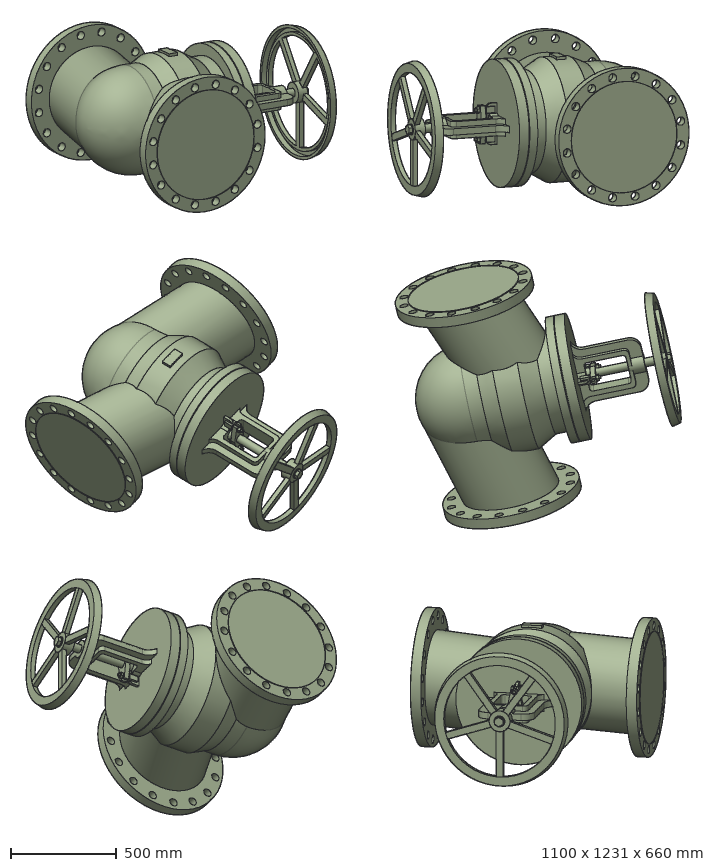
import cadquery as cq
import math


FACE_TO_FACE = 1100.0
FLANGE_RADIUS = 330.0
FLANGE_THICKNESS = 50.0
RAISED_FACE_RADIUS = 267.0
RAISED_FACE_HEIGHT = 4.0
FLANGE_BOLT_CIRCLE_RADIUS = 293.0
FLANGE_HOLE_DIAMETER = 39.0
FLANGE_HOLE_COUNT = 16
FLANGE_INNER_X = FACE_TO_FACE / 2 - RAISED_FACE_HEIGHT - FLANGE_THICKNESS

PIPE_RADIUS = 225.0
INLET_TILT = 13.6
OUTLET_TILT = 19.7
INLET_END_X = 0
OUTLET_END_X = 98

BULB_RADIUS = 262.0
BULB_CENTRE_Y = -84.0
SEAT_TOP_Y = -16.0
BELLY_RADIUS = 298.0
BELLY_BOTTOM_Y = 64.0
BELLY_TOP_Y = 186.0
NECK_RADIUS = 246.0
NECK_BOTTOM_Y = 277.0

BONNET_RADIUS = 304.0
BODY_FLANGE_BOTTOM_Y = 342.0
JOINT_Y = 384.0
GASKET_RADIUS = 261.0
GASKET_THICKNESS = 4.0
BONNET_TOP_Y = 435.0

PLATE_WIDTH = 96.0
PLATE_HEIGHT = 47.0
PLATE_CENTRE_Y = 124.0
PLATE_RISE = 10.0

WEB_HALF_WIDTH = 134.0
WEB_THICKNESS = 31.0
WEB_CORNER_RADIUS = 54.0
WEB_FOOT_RISE = 57.0
WEB_FOOT_RUN = 39.0
YOKE_TOP_Y = 757.0
FRAME_HALF_WIDTH = 97.0
FRAME_THICKNESS = 82.0
FRAME_CORNER_RADIUS = 22.0
FRAME_FOOT_RISE = 38.0
FRAME_FOOT_RUN = 23.0
FRAME_TOP_Y = 696.0
WINDOW_HALF_WIDTH = 73.0
WINDOW_BOTTOM_Y = 476.0
WINDOW_TOP_Y = 678.0
WINDOW_CORNER_RADIUS = 16.0
BOSS_RADIUS = 43.0

STEM_RADIUS = 21.0
GLAND_RADIUS = 30.0
GLAND_PLATE_BOTTOM_Y = 497.0
GLAND_PLATE_THICKNESS = 25.0
GLAND_PLATE_HALF_WIDTH = 35.0
GLAND_PLATE_HALF_LENGTH = 91.0
GLAND_PLATE_TIP_HALF_WIDTH = 17.0
GLAND_SLOT_WIDTH = 14.0
GLAND_BOLT_OFFSET = 70.0
GLAND_BOLT_RADIUS = 7.0
GLAND_BOLT_TOP_Y = 544.0
GLAND_NUT_FLATS = 27.0
GLAND_NUT_HEIGHT = 14.0
FORK_WIDTH = 35.0
FORK_DEPTH = 31.0
FORK_BOTTOM_Y = 447.0
FORK_TOP_Y = 490.0
FORK_BRIDGE_HEIGHT = 6.0
EAR_THICKNESS = 14.0
EAR_REACH = 100.0
EAR_CORNER_RADIUS = 20.0
CASING_RADIUS = 50.0
CASING_TOP_Y = 475.0

WHEEL_BOTTOM_Y = 826.0
WHEEL_TOP_Y = 864.0
WHEEL_BOTTOM_RADIUS = 322.0
WHEEL_TOP_RADIUS = 313.0
RIM_LIP_RADIUS = 308.0
RIM_FLOOR_Y = 856.0
RIM_INNER_LIP_RADIUS = 285.0
RIM_INNER_RADIUS = 270.0
RIM_INNER_LIP_Y = 839.0
SPOKE_COUNT = 5
SPOKE_WIDTH = 33.0
SPOKE_BOTTOM_Y = 839.0
SPOKE_THICKNESS = 23.0
HUB_RADIUS = 50.0
HUB_BOTTOM_Y = 812.0
WASHER_RADIUS = 26.0
WASHER_THICKNESS = 4.0
STEM_NUT_FLATS = 40.0
VALVE_TOP_Y = 885.0

OVERLAP = 6.0


def along_stem(y, z=0):
    """Workplane at height y whose normal is +Y; local axes are +X and -Z."""
    return cq.Workplane("XZ", origin=(0, y, z)).transformed(rotate=(180, 0, 0))


def stem_cylinder(radius, bottom_y, top_y, z=0):
    return along_stem(bottom_y, z).circle(radius).extrude(top_y - bottom_y)


def hexagon(across_flats, bottom_y, height, z=0):
    """Hexagonal nut with flats facing +X and -X."""
    corner_diameter = across_flats / math.cos(math.radians(30))
    base = along_stem(bottom_y, z).transformed(rotate=(0, 0, 90))
    return base.polygon(6, corner_diameter).extrude(height)


def pipe_flange(side):
    """Flange with raised face; side is -1 at the inlet and +1 at the outlet."""
    disc = cq.Workplane("YZ", origin=(side * FLANGE_INNER_X, 0, 0)).circle(FLANGE_RADIUS)
    disc = disc.extrude(side * FLANGE_THICKNESS)
    face = cq.Workplane("YZ", origin=(side * FLANGE_INNER_X, 0, 0)).circle(RAISED_FACE_RADIUS)
    face = face.extrude(side * (FLANGE_THICKNESS + RAISED_FACE_HEIGHT))
    holes = (
        cq.Workplane("YZ", origin=(side * FLANGE_INNER_X, 0, 0))
        .polarArray(FLANGE_BOLT_CIRCLE_RADIUS, 180 / FLANGE_HOLE_COUNT, 360, FLANGE_HOLE_COUNT)
        .circle(FLANGE_HOLE_DIAMETER / 2)
        .extrude(side * FLANGE_THICKNESS)
    )
    return disc.cut(holes).union(face)


def slanted_pipe(side, tilt, end_x):
    """Round pipe from the flange centre to end_x inside the body, trimmed flush with the flange."""
    slope = math.tan(math.radians(tilt))
    overrun = PIPE_RADIUS
    start_x = side * (FLANGE_INNER_X + overrun)
    start = cq.Vector(start_x, -slope * overrun, 0)
    end = cq.Vector(end_x, slope * (FLANGE_INNER_X - abs(end_x)), 0)
    run = end - start
    pipe = cq.Workplane(cq.Solid.makeCylinder(PIPE_RADIUS, run.Length, start, run))
    between_flanges = cq.Workplane("XY").box(2 * FLANGE_INNER_X + OVERLAP, FACE_TO_FACE, FACE_TO_FACE)
    return pipe.intersect(between_flanges)


def body():
    bulb_side = BULB_RADIUS * math.sqrt(0.5)
    profile = (
        cq.Workplane("XY")
        .moveTo(0, BULB_CENTRE_Y - BULB_RADIUS)
        .threePointArc((bulb_side, BULB_CENTRE_Y - bulb_side), (BULB_RADIUS, BULB_CENTRE_Y))
        .lineTo(BULB_RADIUS, SEAT_TOP_Y)
        .lineTo(BELLY_RADIUS, BELLY_BOTTOM_Y)
        .lineTo(BELLY_RADIUS, BELLY_TOP_Y)
        .lineTo(NECK_RADIUS, NECK_BOTTOM_Y)
        .lineTo(NECK_RADIUS, BODY_FLANGE_BOTTOM_Y)
        .lineTo(BONNET_RADIUS, BODY_FLANGE_BOTTOM_Y)
        .lineTo(BONNET_RADIUS, JOINT_Y - GASKET_THICKNESS / 2)
        .lineTo(GASKET_RADIUS, JOINT_Y - GASKET_THICKNESS / 2)
        .lineTo(GASKET_RADIUS, JOINT_Y + GASKET_THICKNESS / 2)
        .lineTo(BONNET_RADIUS, JOINT_Y + GASKET_THICKNESS / 2)
        .lineTo(BONNET_RADIUS, BONNET_TOP_Y)
        .lineTo(0, BONNET_TOP_Y)
        .close()
    )
    return profile.revolve(360, (0, 0, 0), (0, 1, 0))


def name_plate():
    plate = cq.Workplane("XY", origin=(0, PLATE_CENTRE_Y, 0)).rect(PLATE_WIDTH, PLATE_HEIGHT)
    return plate.extrude(BELLY_RADIUS + PLATE_RISE)


def yoke_arch(half_width, top_y, corner_radius, foot_rise, foot_run, thickness):
    """Solid arch standing on the bonnet, with rounded shoulders and flared feet."""
    half = (
        cq.Workplane("XY")
        .moveTo(0, top_y)
        .lineTo(half_width - corner_radius, top_y)
        .tangentArcPoint((half_width, top_y - corner_radius), relative=False)
        .lineTo(half_width, BONNET_TOP_Y + foot_rise)
        .tangentArcPoint((half_width + foot_run, BONNET_TOP_Y), relative=False)
        .lineTo(half_width + foot_run, BONNET_TOP_Y - OVERLAP)
        .lineTo(0, BONNET_TOP_Y - OVERLAP)
        .close()
        .extrude(thickness / 2, both=True)
    )
    return half.union(half.mirror("YZ"))


def yoke():
    web = yoke_arch(
        WEB_HALF_WIDTH, YOKE_TOP_Y, WEB_CORNER_RADIUS, WEB_FOOT_RISE, WEB_FOOT_RUN, WEB_THICKNESS
    )
    frame = yoke_arch(
        FRAME_HALF_WIDTH, FRAME_TOP_Y, FRAME_CORNER_RADIUS, FRAME_FOOT_RISE, FRAME_FOOT_RUN, FRAME_THICKNESS
    )
    window_centre_y = (WINDOW_BOTTOM_Y + WINDOW_TOP_Y) / 2
    window = (
        cq.Workplane("XY", origin=(0, window_centre_y, 0))
        .box(2 * WINDOW_HALF_WIDTH, WINDOW_TOP_Y - WINDOW_BOTTOM_Y, 2 * FRAME_THICKNESS)
        .edges("|Z")
        .fillet(WINDOW_CORNER_RADIUS)
    )
    boss = stem_cylinder(BOSS_RADIUS, WINDOW_TOP_Y, YOKE_TOP_Y)
    return web.union(frame).cut(window).union(boss)


def gland_plate():
    """Lozenge plate around the stem with an open bolt slot at each end."""
    outline = [
        (GLAND_PLATE_HALF_WIDTH, 0),
        (GLAND_PLATE_TIP_HALF_WIDTH, GLAND_PLATE_HALF_LENGTH),
        (-GLAND_PLATE_TIP_HALF_WIDTH, GLAND_PLATE_HALF_LENGTH),
        (-GLAND_PLATE_HALF_WIDTH, 0),
        (-GLAND_PLATE_TIP_HALF_WIDTH, -GLAND_PLATE_HALF_LENGTH),
        (GLAND_PLATE_TIP_HALF_WIDTH, -GLAND_PLATE_HALF_LENGTH),
    ]
    plate = along_stem(GLAND_PLATE_BOTTOM_Y).polyline(outline).close().extrude(GLAND_PLATE_THICKNESS)
    slot_length = 2 * (GLAND_PLATE_HALF_LENGTH - GLAND_BOLT_OFFSET)
    slots = (
        along_stem(GLAND_PLATE_BOTTOM_Y)
        .pushPoints([(0, GLAND_PLATE_HALF_LENGTH), (0, -GLAND_PLATE_HALF_LENGTH)])
        .rect(GLAND_SLOT_WIDTH, slot_length)
        .extrude(GLAND_PLATE_THICKNESS)
    )
    return plate.cut(slots)


def gland_bolt():
    """Bolt and nut on the +Z side, with a fork straddling an ear of the casing."""
    ear_top_y = FORK_TOP_Y - FORK_BRIDGE_HEIGHT
    ear_bottom_y = BONNET_TOP_Y - OVERLAP
    ear = (
        cq.Workplane("XY", origin=(0, (ear_bottom_y + ear_top_y) / 2, EAR_REACH / 2))
        .box(EAR_THICKNESS, ear_top_y - ear_bottom_y, EAR_REACH)
        .edges("|X and >Z and >Y")
        .fillet(EAR_CORNER_RADIUS)
    )
    fork_centre_y = (FORK_BOTTOM_Y + FORK_TOP_Y) / 2
    fork_height = FORK_TOP_Y - FORK_BOTTOM_Y
    fork = cq.Workplane("XY", origin=(0, fork_centre_y, GLAND_BOLT_OFFSET))
    fork = fork.box(FORK_WIDTH, fork_height, FORK_DEPTH)
    bolt = stem_cylinder(GLAND_BOLT_RADIUS, ear_top_y, GLAND_BOLT_TOP_Y, GLAND_BOLT_OFFSET)
    nut_bottom_y = GLAND_PLATE_BOTTOM_Y + GLAND_PLATE_THICKNESS
    nut = hexagon(GLAND_NUT_FLATS, nut_bottom_y, GLAND_NUT_HEIGHT, GLAND_BOLT_OFFSET)
    return ear.union(fork).union(bolt).union(nut)


def gland():
    casing = stem_cylinder(CASING_RADIUS, BONNET_TOP_Y - OVERLAP, CASING_TOP_Y)
    follower = stem_cylinder(GLAND_RADIUS, CASING_TOP_Y, GLAND_PLATE_BOTTOM_Y)
    bolt = gland_bolt()
    return casing.union(follower).union(gland_plate()).union(bolt).union(bolt.mirror("XY"))


def handwheel():
    rim_outline = [
        (WHEEL_BOTTOM_RADIUS, WHEEL_BOTTOM_Y),
        (WHEEL_TOP_RADIUS, WHEEL_TOP_Y),
        (RIM_INNER_RADIUS, WHEEL_TOP_Y),
        (RIM_INNER_RADIUS, RIM_INNER_LIP_Y),
        (RIM_INNER_LIP_RADIUS, RIM_INNER_LIP_Y),
        (RIM_INNER_LIP_RADIUS, RIM_FLOOR_Y),
        (RIM_LIP_RADIUS, RIM_FLOOR_Y),
        (RIM_LIP_RADIUS, WHEEL_BOTTOM_Y),
    ]
    wheel = cq.Workplane("XY").polyline(rim_outline).close().revolve(360, (0, 0, 0), (0, 1, 0))
    wheel = wheel.union(stem_cylinder(HUB_RADIUS, HUB_BOTTOM_Y, WHEEL_TOP_Y))
    spoke_length = RIM_INNER_RADIUS + OVERLAP
    spoke = (
        along_stem(SPOKE_BOTTOM_Y)
        .center(0, spoke_length / 2)
        .rect(SPOKE_WIDTH, spoke_length)
        .extrude(SPOKE_THICKNESS)
    )
    for index in range(SPOKE_COUNT):
        wheel = wheel.union(spoke.rotate((0, 0, 0), (0, 1, 0), index * 360 / SPOKE_COUNT))
    return wheel


def stem():
    rod = stem_cylinder(STEM_RADIUS, BONNET_TOP_Y - OVERLAP, WHEEL_TOP_Y)
    washer = stem_cylinder(WASHER_RADIUS, WHEEL_TOP_Y, WHEEL_TOP_Y + WASHER_THICKNESS)
    nut = hexagon(STEM_NUT_FLATS, WHEEL_TOP_Y, VALVE_TOP_Y - WHEEL_TOP_Y)
    return rod.union(washer).union(nut)


result = body()
result = result.union(slanted_pipe(-1, -INLET_TILT, INLET_END_X))
result = result.union(slanted_pipe(1, OUTLET_TILT, OUTLET_END_X))
result = result.union(pipe_flange(-1)).union(pipe_flange(1))
result = result.union(name_plate()).union(yoke()).union(gland())
result = result.union(handwheel()).union(stem())